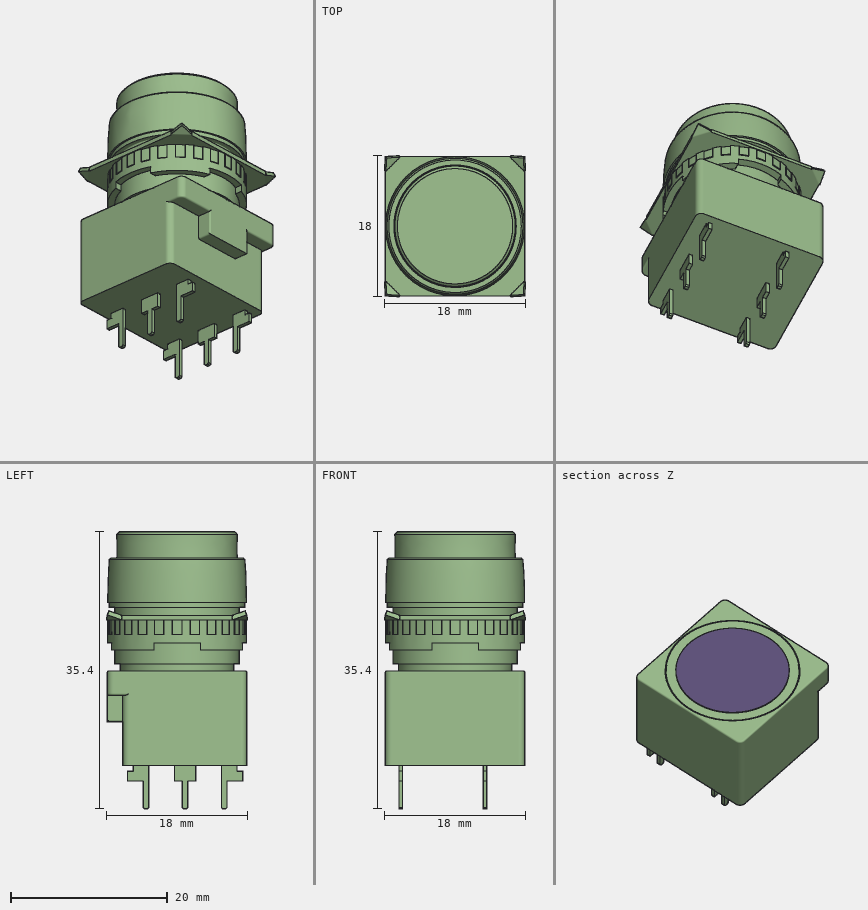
import cadquery as cq
import math


BLOCK_WIDTH = 17.85
BLOCK_BOTTOM = 5.52
BLOCK_TOP = 17.63
BLOCK_CORNER = 0.8
BLOCK_EDGE = 0.25
LIP_BOTTOM = 14.48
LIP_DEPTH = 2.0
LATCH_WIDTH = 7.08
LATCH_BOTTOM = 11.1
LATCH_EDGE = 0.2

TERMINAL_THICKNESS = 0.5
TERMINAL_ROWS_X = (-6.95, 3.82)
TERMINAL_MIDDLE_Y = -1.03
TERMINAL_PITCH = 5.0
STEM_WIDTH = 0.75
STEM_TOP = 3.55
STEM_CHAMFER = 0.18
BLADE_WIDTH = 2.75
BLADE_STEP_TOP = 4.8
BLADE_ROOT_WIDTH = 2.02

FLANGE_RADIUS = 8.5
FLANGE_CLEARANCE = 0.1
FLANGE_THICKNESS = 0.7
NECK_RADIUS = 7.25
BARREL_RADIUS = 7.95
BARREL_BOTTOM = 18.5
COLLAR_RADIUS = 8.67
COLLAR_BOTTOM = 25.75
COLLAR_FILLET = 0.07
BEZEL_BOTTOM = 26.35
BEZEL_BOTTOM_RADIUS = 8.9
BEZEL_MIDDLE_RADIUS = 8.85
BEZEL_TOP_RADIUS = 8.67
BEZEL_TOP = 32.05
BEZEL_CHAMFER = 0.2

BUTTON_TOP = 35.4
BUTTON_END_RADIUS = 7.7
BUTTON_WAIST_RADIUS = 7.68
BUTTON_CHAMFER = 0.35
BUTTON_GROOVE_WIDTH = 0.1
BUTTON_GROOVE_BOTTOM = 31.5

WASHER_WIDTH = 17.8
WASHER_BOTTOM = 24.1
WASHER_TOP = 24.7
TAB_LEG = 1.88
TAB_ANGLE = 28.0
TAB_PIVOT_HEIGHT = 0.35

NUT_RADIUS = 8.9
NUT_BOTTOM = 20.3
GRIP_COUNT = 24
GRIP_ANGLE = 7.9
GRIP_DEPTH = 0.1
GRIP_BOTTOM = 22.25
NOTCH_COUNT = 4
NOTCH_WIDTH = 5.95
NOTCH_TOP = 21.2

HALF_BLOCK = BLOCK_WIDTH / 2
LOWER_BLOCK_BACK = HALF_BLOCK - LIP_DEPTH


def slab(width, front, back, bottom, top):
    """Box centred on X, between two Y and two Z positions."""
    return (
        cq.Workplane("XY", origin=(0, (front + back) / 2, bottom))
        .rect(width, back - front)
        .extrude(top - bottom)
    )


def cylinder(radius, bottom, top):
    return cq.Workplane("XY", origin=(0, 0, bottom)).circle(radius).extrude(top - bottom)


def terminal(x, y, side):
    """Stem with a wider blade above it; side -1 or +1 puts the blade on that side along Y, 0 centres it."""

    def plate(width, bottom, top):
        middle = y + side * (width - STEM_WIDTH) / 2
        return (
            cq.Workplane("XY", origin=(x, middle, bottom))
            .rect(TERMINAL_THICKNESS, width)
            .extrude(top - bottom)
        )

    stem = plate(STEM_WIDTH, 0, STEM_TOP)
    stem = stem.faces("<Z").edges("|X").chamfer(STEM_CHAMFER)
    blade = plate(BLADE_WIDTH, STEM_TOP, BLADE_STEP_TOP)
    root_width = BLADE_WIDTH if side == 0 else BLADE_ROOT_WIDTH
    root = plate(root_width, BLADE_STEP_TOP, BLOCK_BOTTOM)
    return stem.union(blade).union(root).clean()


def make_block():
    """Square housing with an overhanging back lip, a latch below the lip and the terminals."""
    head = slab(BLOCK_WIDTH, -HALF_BLOCK, HALF_BLOCK, LIP_BOTTOM, BLOCK_TOP)
    head = head.edges("|Z").fillet(BLOCK_CORNER)
    head = head.faces(">Z").edges().fillet(BLOCK_EDGE)
    head = head.faces("<Z").edges().fillet(BLOCK_EDGE)
    body = slab(BLOCK_WIDTH, -HALF_BLOCK, LOWER_BLOCK_BACK, BLOCK_BOTTOM, LIP_BOTTOM + 2 * BLOCK_EDGE)
    body = body.edges("|Z").fillet(BLOCK_CORNER)
    latch = slab(LATCH_WIDTH, 0, HALF_BLOCK, LATCH_BOTTOM, LIP_BOTTOM + BLOCK_EDGE)
    latch = latch.edges("(|Z and >Y) or (|Y and <Z)").fillet(LATCH_EDGE)
    block = body.union(head).union(latch)
    for x in TERMINAL_ROWS_X:
        for side in (-1, 0, 1):
            block = block.union(terminal(x, TERMINAL_MIDDLE_Y + side * TERMINAL_PITCH, side))
    return block.cut(cylinder(FLANGE_RADIUS + FLANGE_CLEARANCE, BLOCK_TOP - FLANGE_THICKNESS, BLOCK_TOP))


def make_operator():
    """Button, bezel, barrel and flange as one turned profile, with a groove around the button."""
    button_lip = BUTTON_TOP - BUTTON_CHAMFER
    bezel_rim = BEZEL_TOP - BEZEL_CHAMFER
    groove_radius = BUTTON_END_RADIUS + BUTTON_GROOVE_WIDTH
    profile = (
        cq.Workplane("XZ")
        .moveTo(0, BLOCK_TOP - FLANGE_THICKNESS)
        .lineTo(FLANGE_RADIUS, BLOCK_TOP - FLANGE_THICKNESS)
        .lineTo(FLANGE_RADIUS, BLOCK_TOP)
        .lineTo(NECK_RADIUS, BLOCK_TOP)
        .lineTo(NECK_RADIUS, BARREL_BOTTOM)
        .lineTo(BARREL_RADIUS, BARREL_BOTTOM)
        .lineTo(BARREL_RADIUS, COLLAR_BOTTOM - COLLAR_FILLET)
        .radiusArc((BARREL_RADIUS + COLLAR_FILLET, COLLAR_BOTTOM), COLLAR_FILLET)
        .lineTo(COLLAR_RADIUS, COLLAR_BOTTOM)
        .lineTo(COLLAR_RADIUS, BEZEL_BOTTOM)
        .lineTo(BEZEL_BOTTOM_RADIUS, BEZEL_BOTTOM)
        .threePointArc((BEZEL_MIDDLE_RADIUS, (BEZEL_BOTTOM + bezel_rim) / 2), (BEZEL_TOP_RADIUS, bezel_rim))
        .lineTo(BEZEL_TOP_RADIUS - BEZEL_CHAMFER, BEZEL_TOP)
        .lineTo(groove_radius, BEZEL_TOP)
        .lineTo(groove_radius, BUTTON_GROOVE_BOTTOM)
        .lineTo(BUTTON_END_RADIUS, BUTTON_GROOVE_BOTTOM)
        .threePointArc((BUTTON_WAIST_RADIUS, (BEZEL_TOP + button_lip) / 2), (BUTTON_END_RADIUS, button_lip))
        .lineTo(BUTTON_END_RADIUS - BUTTON_CHAMFER, BUTTON_TOP)
        .lineTo(0, BUTTON_TOP)
        .close()
    )
    return profile.revolve(360, (0, 0, 0), (0, 1, 0))


def corner_tab():
    """Triangular corner at +X +Y, bent up about its diagonal fold line."""
    half = WASHER_WIDTH / 2
    pivot = WASHER_BOTTOM + TAB_PIVOT_HEIGHT
    fold_start = (half, half - TAB_LEG, pivot)
    fold_end = (half - TAB_LEG, half, pivot)
    leaf = (
        cq.Workplane("XY", origin=(0, 0, WASHER_BOTTOM))
        .polyline([fold_start[:2], (half, half), fold_end[:2]])
        .close()
        .extrude(WASHER_TOP - WASHER_BOTTOM)
        .rotate(fold_start, fold_end, -TAB_ANGLE)
    )
    fold_plane = cq.Plane(origin=fold_start, xDir=(-1, 1, 0), normal=(1, 1, 0))
    fold_length = TAB_LEG * math.sqrt(2)
    bend = (
        cq.Workplane(fold_plane)
        .polyline([(0, 0), (fold_length, 0), (fold_length, -TAB_PIVOT_HEIGHT), (0, -TAB_PIVOT_HEIGHT)])
        .close()
        .revolve(TAB_ANGLE, (fold_length, 0, 0), (0, 0, 0))
    )
    return leaf.union(bend)


def make_washer():
    """Square washer with its four corners bent up."""
    half = WASHER_WIDTH / 2
    washer = slab(WASHER_WIDTH, -half, half, WASHER_BOTTOM, WASHER_TOP)
    washer = washer.edges("|Z").chamfer(TAB_LEG)
    tab = corner_tab()
    for corner in range(4):
        washer = washer.union(tab.rotate((0, 0, 0), (0, 0, 1), 90 * corner))
    return washer.cut(cylinder(BARREL_RADIUS, WASHER_BOTTOM, WASHER_TOP))


def make_nut():
    """Ring nut with shallow grip recesses around its upper half and notches in its lower rim."""
    nut = cylinder(NUT_RADIUS, NUT_BOTTOM, WASHER_BOTTOM)
    half_angle = math.radians(GRIP_ANGLE / 2)
    reach = 2 * NUT_RADIUS
    wedge = (
        cq.Workplane("XY", origin=(0, 0, GRIP_BOTTOM))
        .polyline([
            (0, 0),
            (reach * math.cos(half_angle), -reach * math.sin(half_angle)),
            (reach * math.cos(half_angle), reach * math.sin(half_angle)),
        ])
        .close()
        .extrude(WASHER_BOTTOM - GRIP_BOTTOM)
        .cut(cylinder(NUT_RADIUS - GRIP_DEPTH, GRIP_BOTTOM, WASHER_BOTTOM))
    )
    for i in range(GRIP_COUNT):
        nut = nut.cut(wedge.rotate((0, 0, 0), (0, 0, 1), 360 / GRIP_COUNT * i))
    notch = slab(NOTCH_WIDTH, 0, reach, NUT_BOTTOM, NOTCH_TOP)
    for i in range(NOTCH_COUNT):
        nut = nut.cut(notch.rotate((0, 0, 0), (0, 0, 1), 360 / NOTCH_COUNT * i))
    return nut.cut(cylinder(BARREL_RADIUS, NUT_BOTTOM, WASHER_BOTTOM))


block = make_block()
operator = make_operator()
washer = make_washer()
nut = make_nut()

result = cq.Compound.makeCompound([block.val(), operator.val(), washer.val(), nut.val()])